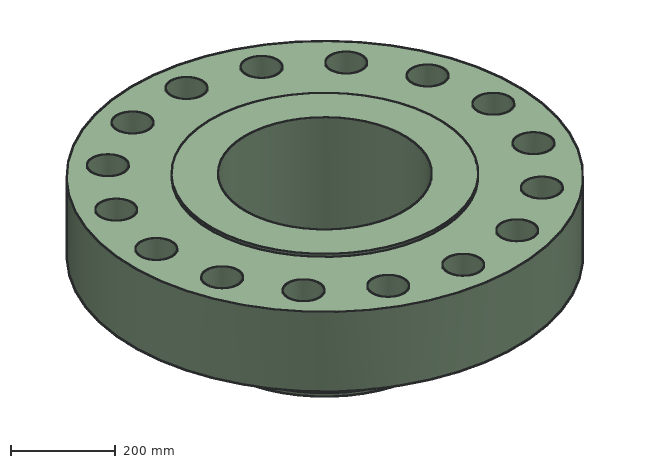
import cadquery as cq

flange_radius = 492.0
flange_thickness = 178.0
face_radius = 292.0
face_height = 7.0
bore_radius = 204.0

hub_length = 177.0
hub_top_radius = 318.0
hub_end_radius = 254.0
taper_end_z = 27.0
hub_fillet_radius = 17.0

shoulder_z = 19.0
bevel_top_radius = 219.0
bevel_top_z = 15.0
land_radius = 207.0

bolt_count = 16
bolt_circle_radius = 415.0
bolt_hole_diameter = 80.0

flange_top_z = hub_length + flange_thickness
face_top_z = flange_top_z + face_height


def make_body():
    """Revolve the half section, including the bore, about Z."""
    section = (
        cq.Workplane("XZ")
        .moveTo(bore_radius, 0)
        .lineTo(land_radius, 0)
        .lineTo(bevel_top_radius, bevel_top_z)
        .lineTo(hub_end_radius, shoulder_z)
        .lineTo(hub_end_radius, taper_end_z)
        .lineTo(hub_top_radius, hub_length)
        .lineTo(flange_radius, hub_length)
        .lineTo(flange_radius, flange_top_z)
        .lineTo(face_radius, flange_top_z)
        .lineTo(face_radius, face_top_z)
        .lineTo(bore_radius, face_top_z)
        .close()
    )
    return section.revolve(360, (0, 0, 0), (0, 1, 0))


def fillet_hub_root(body):
    """Round the inside corner between the hub and the flange underside."""
    underside = body.faces("|Z").faces(cq.selectors.NearestToPointSelector((0, 0, hub_length)))
    root_edge = cq.selectors.RadiusNthSelector(0)
    return body.newObject(underside.edges(root_edge).vals()).fillet(hub_fillet_radius)


def make_bolt_holes():
    """Cylinders on the bolt circle, long enough to pass through the flange."""
    return (
        cq.Workplane("XY")
        .workplane(offset=hub_length)
        .polarArray(bolt_circle_radius, 0, 360, bolt_count)
        .circle(bolt_hole_diameter / 2)
        .extrude(flange_thickness)
    )


result = fillet_hub_root(make_body()).cut(make_bolt_holes())